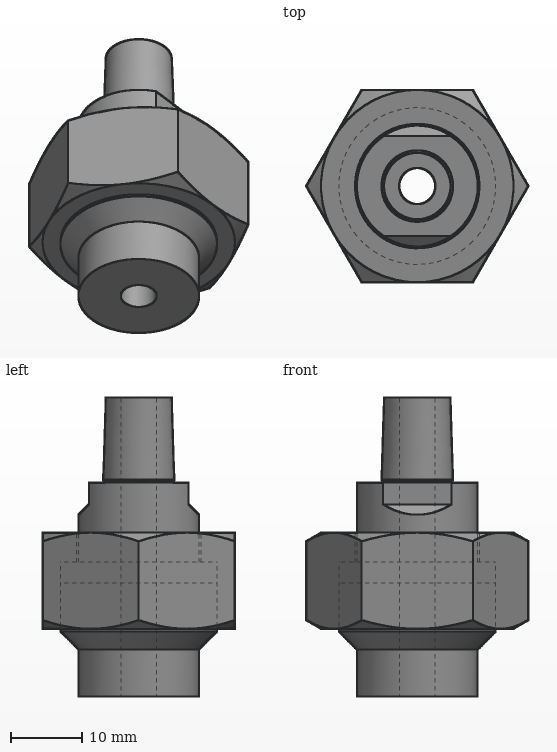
import cadquery as cq
import math

total_height = 42.0
socket_height = 6.65
nut_bottom = 9.55
nut_height = 13.5
nut_top = nut_bottom + nut_height
collar_top = 30.05
joint_height = 15.95
shoulder_height = 18.9

bore_radius = 2.5
pipe_radius = 8.5
seat_radius = 11.0

across_flats = 27.0
across_corners = across_flats / math.cos(math.pi / 6)
collar_clearance = 0.25
chamfer_angle = math.radians(30)
envelope_margin = 0.4

taper_ratio = 1 / 16
stub_tip_radius = 4.65
neck_radius = 4.87
neck_height = 0.15
neck_chamfer = 0.25
flat_spacing = 14.03
flat_height = 3.02


def revolve_profile(points):
    """Revolve an (r, z) outline around the Z axis."""
    return cq.Workplane("XZ").polyline(points).close().revolve(360, (0, 0, 0), (0, 1, 0))


def make_tailpiece():
    cone_height = seat_radius - pipe_radius
    return revolve_profile([
        (bore_radius, 0),
        (pipe_radius, 0),
        (pipe_radius, socket_height),
        (seat_radius, socket_height + cone_height),
        (seat_radius, joint_height),
        (bore_radius, joint_height),
    ])


def make_nut():
    hexagon = (
        cq.Workplane("XY", origin=(0, 0, nut_bottom))
        .polygon(6, across_corners)
        .extrude(nut_height)
    )

    face_radius = across_flats / 2
    envelope_radius = across_corners / 2 + envelope_margin
    slope_height = (envelope_radius - face_radius) * math.tan(chamfer_angle)
    envelope = revolve_profile([
        (0, nut_bottom),
        (face_radius, nut_bottom),
        (envelope_radius, nut_bottom + slope_height),
        (envelope_radius, nut_top - slope_height),
        (face_radius, nut_top),
        (0, nut_top),
    ])

    opening_radius = pipe_radius + collar_clearance
    stepped_bore = revolve_profile([
        (0, nut_bottom),
        (seat_radius, nut_bottom),
        (seat_radius, shoulder_height),
        (opening_radius, shoulder_height),
        (opening_radius, nut_top),
        (0, nut_top),
    ])
    return hexagon.intersect(envelope).cut(stepped_bore).solids()


def make_flat_cutter():
    """Wrench flat on the +Y side, running out at 45 degrees below."""
    flat_y = flat_spacing / 2
    runout = pipe_radius - flat_y
    flat_bottom = collar_top - flat_height
    return (
        cq.Workplane("YZ")
        .polyline([
            (flat_y, collar_top),
            (flat_y, flat_bottom),
            (pipe_radius, flat_bottom - runout),
            (pipe_radius, collar_top),
        ])
        .close()
        .extrude(pipe_radius, both=True)
    )


def make_spigot():
    neck_top = collar_top + neck_height
    stub_bottom = neck_top + neck_chamfer
    stub_base_radius = stub_tip_radius + (total_height - stub_bottom) * taper_ratio / 2
    body = revolve_profile([
        (bore_radius, joint_height),
        (seat_radius, joint_height),
        (seat_radius, shoulder_height),
        (pipe_radius, shoulder_height),
        (pipe_radius, collar_top),
        (neck_radius, collar_top),
        (neck_radius, neck_top),
        (stub_base_radius, stub_bottom),
        (stub_tip_radius, total_height),
        (bore_radius, total_height),
    ])
    flat_cutter = make_flat_cutter()
    return body.cut(flat_cutter).cut(flat_cutter.mirror("XZ")).solids()


tailpiece = make_tailpiece()
nut = make_nut()
spigot = make_spigot()

result = cq.Compound.makeCompound([tailpiece.val(), nut.val(), spigot.val()])